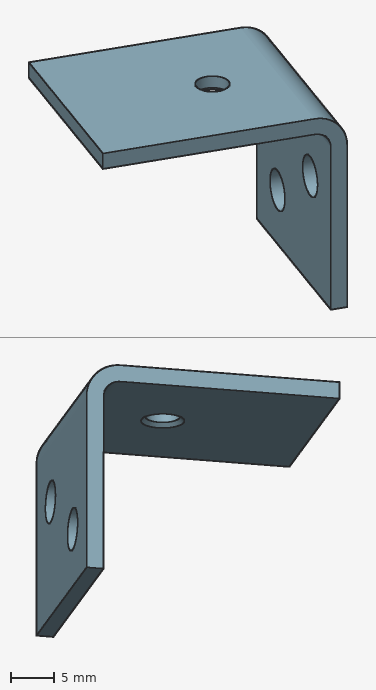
import cadquery as cq

width = 25.0
depth = 30.0
height = 25.0

thickness = 2.0
inner_bend_radius = 2.0
outer_bend_radius = inner_bend_radius + thickness

upright_hole_diameter = 5.0
upright_hole_offset = 5.5
low_hole_drop = 18.0
high_hole_drop = 11.0

top_hole_diameter = 4.0
top_hole_setback = 12.0
countersink_depth = 0.5
countersink_diameter = top_hole_diameter + 2 * countersink_depth

back = depth / 2
top = height / 2


def bent_sheet():
    """Two flanges at a right angle, joined by a rounded bend along the top back edge."""
    block = (
        cq.Workplane("XY")
        .box(width, depth, height)
        .edges(">Y and >Z")
        .fillet(outer_bend_radius)
    )
    inside = (
        cq.Workplane("XY")
        .box(width, depth, height)
        .edges(">Y and >Z")
        .fillet(inner_bend_radius)
        .translate((0, -thickness, -thickness))
    )
    return block.cut(inside)


def upright_hole(x, drop):
    """Cutter along Y through the upright flange, a given drop below the top face."""
    start = cq.Vector(x, back - thickness, top - drop)
    return cq.Solid.makeCylinder(upright_hole_diameter / 2, thickness, start, cq.Vector(0, 1, 0))


def top_hole():
    """Cutter along Z through the top flange."""
    start = cq.Vector(0, back - top_hole_setback, top - thickness)
    return cq.Solid.makeCylinder(top_hole_diameter / 2, thickness, start, cq.Vector(0, 0, 1))


def top_hole_countersink():
    """Cone that widens the top hole towards the underside of the top flange."""
    start = cq.Vector(0, back - top_hole_setback, top - thickness)
    return cq.Solid.makeCone(
        countersink_diameter / 2,
        top_hole_diameter / 2,
        countersink_depth,
        start,
        cq.Vector(0, 0, 1),
    )


result = (
    bent_sheet()
    .cut(upright_hole(-upright_hole_offset, low_hole_drop))
    .cut(upright_hole(upright_hole_offset, high_hole_drop))
    .cut(top_hole())
    .cut(top_hole_countersink())
)